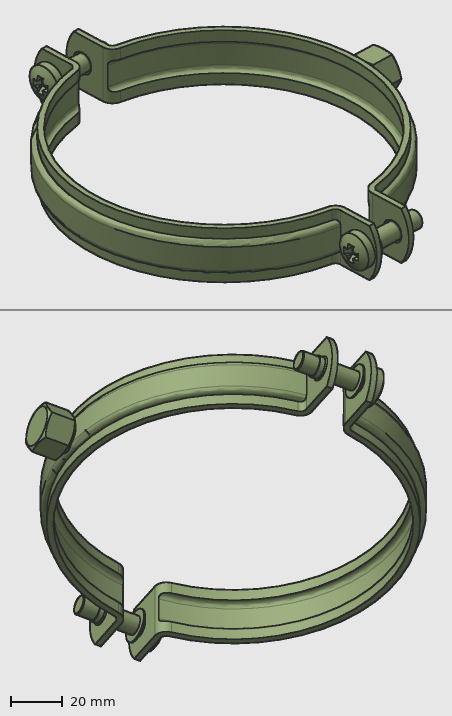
import cadquery as cq
import math


band_height = 25.0
sheet = 2.6
rim_radius = 72.4
bead_rise = 2.5
bead_radius = rim_radius + bead_rise
bore_radius = rim_radius - sheet
bead_width = 15.2
bead_round = 2.3
groove_width = 14.5
groove_round = 2.3
joint_gap = 14.9
flange_inside = joint_gap / 2
flange_outside = flange_inside + sheet
flange_end = 94.0
flange_corner = 89.9
bend_inner_radius = 2.6
bend_outer_radius = bend_inner_radius + sheet

screw_x = 85.2
shank_diameter = 8.0
shank_tip_y = 20.1
tip_chamfer = 0.4
collar_diameter = 9.0
collar_foot_diameter = 10.2
collar_foot = 0.5
collar_height = 2.8
entry_diameter = 9.8
entry_depth = 0.8
washer_diameter = 14.0
washer_thickness = 0.5
washer_y = -5.0
head_diameter = 15.8
head_side = 3.5
head_height = 6.0
recess_span = 9.0
recess_floor = 3.4
recess_arm = 3.0
recess_depth = 3.0

nut_corners = 20.5
nut_height = 12.8
nut_seat_height = 0.4
nut_top_y = bead_radius + nut_seat_height + nut_height
nut_seat_diameter = 14.0
nut_top_diameter = 16.4
chamfer_angle = math.radians(25)


def half_space(start_y):
    """Block covering everything with Y above start_y."""
    size = 2 * flange_end
    return cq.Workplane("XY").box(size, size, size, centered=(True, False, True)).translate((0, start_y, 0))


def rounded_ring(inner_radius, outer_radius, width, corner_radius):
    """Ring about Z with both outer rims rounded."""
    ring = cq.Workplane("XY").circle(outer_radius).extrude(width).faces("<Z or >Z").edges().fillet(corner_radius)
    ring = ring.translate((0, 0, -width / 2))
    return ring.cut(cq.Workplane("XY").circle(inner_radius).extrude(width, both=True))


def flange_plates():
    """Both screw flanges as one plate with bowed ends."""
    half_height = band_height / 2
    return (
        cq.Workplane("XZ", origin=(0, flange_outside, 0))
        .moveTo(-flange_corner, -half_height)
        .lineTo(flange_corner, -half_height)
        .threePointArc((flange_end, 0), (flange_corner, half_height))
        .lineTo(-flange_corner, half_height)
        .threePointArc((-flange_end, 0), (-flange_corner, -half_height))
        .close()
        .extrude(sheet)
    )


def band_half():
    """Half ring on the +Y side with flanges, bends and pressed bead."""
    half_height = band_height / 2
    strip = cq.Workplane("XY").circle(rim_radius).extrude(half_height, both=True)
    strip = strip.intersect(half_space(flange_inside)).union(flange_plates())
    strip = strip.cut(cq.Workplane("XY").circle(bore_radius).extrude(half_height, both=True))

    inner_corner_x = math.sqrt(rim_radius**2 - flange_outside**2)
    outer_corner_x = math.sqrt(bore_radius**2 - flange_inside**2)
    for corner_x, corner_y, radius in (
        (inner_corner_x, flange_outside, bend_inner_radius),
        (outer_corner_x, flange_inside, bend_outer_radius),
    ):
        for side in (-1, 1):
            corner = cq.selectors.NearestToPointSelector((side * corner_x, corner_y, 0))
            strip = strip.edges("|Z").edges(corner).fillet(radius)

    middle_radius = (bore_radius + rim_radius) / 2
    bead = rounded_ring(middle_radius, bead_radius, bead_width, bead_round)
    groove = rounded_ring(bore_radius - sheet, bead_radius - sheet, groove_width, groove_round)
    strip = strip.union(bead.intersect(half_space(flange_outside)))
    return strip.cut(groove.intersect(half_space(flange_inside)))


def screw_entry():
    """Ring-shaped countersink around the shank in the threaded flange."""
    return (
        cq.Workplane("XY")
        .moveTo(shank_diameter / 2, flange_inside)
        .lineTo(entry_diameter / 2, flange_inside)
        .lineTo(shank_diameter / 2, flange_inside + entry_depth)
        .close()
        .revolve(360, (0, 0, 0), (0, 1, 0))
    )


def screw():
    """Pan-head screw about the Y axis, with captive washer and flange collar."""
    shank_radius = shank_diameter / 2
    tip_radius = shank_radius - tip_chamfer
    head_radius = head_diameter / 2
    head_crown_y = -flange_outside - head_height
    head_edge_y = -flange_outside - head_side
    dome_rise = head_height - head_side
    dome_radius = (head_radius**2 + dome_rise**2) / (2 * dome_rise)
    mid_x = head_radius / 2
    mid_y = head_crown_y + dome_radius - math.sqrt(dome_radius**2 - mid_x**2)
    body = (
        cq.Workplane("XY")
        .moveTo(0, head_crown_y)
        .threePointArc((mid_x, mid_y), (head_radius, head_edge_y))
        .lineTo(head_radius, -flange_outside)
        .lineTo(shank_radius, -flange_outside)
        .lineTo(shank_radius, shank_tip_y - tip_chamfer)
        .lineTo(tip_radius, shank_tip_y)
        .lineTo(0, shank_tip_y)
        .close()
        .revolve(360, (0, 0, 0), (0, 1, 0))
    )
    collar = (
        cq.Workplane("XY")
        .moveTo(0, flange_outside)
        .lineTo(collar_foot_diameter / 2, flange_outside)
        .lineTo(collar_diameter / 2, flange_outside + collar_foot)
        .lineTo(collar_diameter / 2, flange_outside + collar_height)
        .lineTo(0, flange_outside + collar_height)
        .close()
        .revolve(360, (0, 0, 0), (0, 1, 0))
    )
    washer = cq.Workplane("XZ", origin=(0, washer_y, 0)).circle(washer_diameter / 2).extrude(washer_thickness)
    body = body.union(collar).union(washer)

    arm = (
        cq.Workplane("XZ", origin=(0, head_crown_y, 0))
        .rect(recess_span, recess_arm)
        .workplane(offset=-recess_depth)
        .rect(recess_floor, recess_arm)
        .loft()
    )
    for angle in (0, 90):
        body = body.cut(arm.rotate((0, 0, 0), (0, 1, 0), angle))
    return body


def nut():
    """Hexagon nut on top of the ring, corners chamfered at both ends."""
    corner_radius = nut_corners / 2
    seat_radius = nut_seat_diameter / 2
    top_radius = nut_top_diameter / 2
    nut_base_y = nut_top_y - nut_height
    hexagon = cq.Workplane("XZ", origin=(0, nut_top_y, 0)).polygon(6, nut_corners).extrude(nut_height)
    envelope = (
        cq.Workplane("XY")
        .moveTo(0, nut_base_y)
        .lineTo(seat_radius, nut_base_y)
        .lineTo(corner_radius, nut_base_y + (corner_radius - seat_radius) * math.tan(chamfer_angle))
        .lineTo(corner_radius, nut_top_y - (corner_radius - top_radius) * math.tan(chamfer_angle))
        .lineTo(top_radius, nut_top_y)
        .lineTo(0, nut_top_y)
        .close()
        .revolve(360, (0, 0, 0), (0, 1, 0))
    )
    seat = cq.Workplane("XZ", origin=(0, nut_base_y, 0)).circle(seat_radius).extrude(sheet)
    return hexagon.intersect(envelope).union(seat)


upper_band = band_half()
result = upper_band.union(upper_band.mirror("XZ")).union(nut())
for side in (-1, 1):
    screw_position = (side * screw_x, 0, 0)
    result = result.cut(screw_entry().translate(screw_position))
    result = result.union(screw().translate(screw_position))